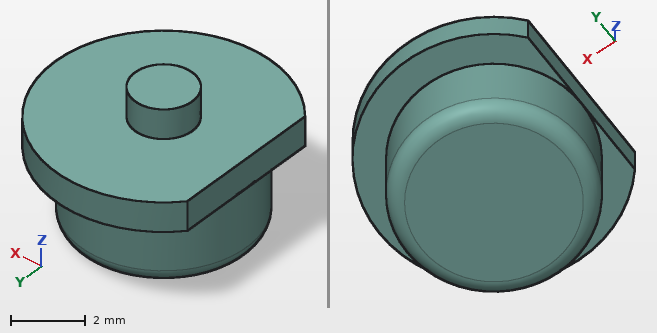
import cadquery as cq

body_diameter = 5.8
body_height = 2.5
body_edge_radius = 0.5
flange_diameter = 7.6
flange_thickness = 1.0
pin_diameter = 2.0
pin_height = 1.0

flange_radius = flange_diameter / 2
flat_x = -body_diameter / 2
flange_bottom_z = body_height
flange_top_z = flange_bottom_z + flange_thickness


def cylinder(diameter, height, base_z):
    """Upright cylinder on the Z axis, standing on base_z."""
    return cq.Workplane("XY").workplane(offset=base_z).circle(diameter / 2).extrude(height)


def make_body():
    """Round body with a rounded bottom edge."""
    return cylinder(body_diameter, body_height, 0).faces("<Z").edges().fillet(body_edge_radius)


def make_flange():
    """Round flange with a single flat on its -X side."""
    disc = cylinder(flange_diameter, flange_thickness, flange_bottom_z)
    kept_width = flange_radius - flat_x
    kept_side = (
        cq.Workplane("XY")
        .workplane(offset=flange_bottom_z)
        .center(flat_x + kept_width / 2, 0)
        .rect(kept_width, flange_diameter)
        .extrude(flange_thickness)
    )
    return disc.intersect(kept_side)


def make_pin():
    """Plain pin on top of the flange."""
    return cylinder(pin_diameter, pin_height, flange_top_z)


result = make_body().union(make_flange()).union(make_pin())